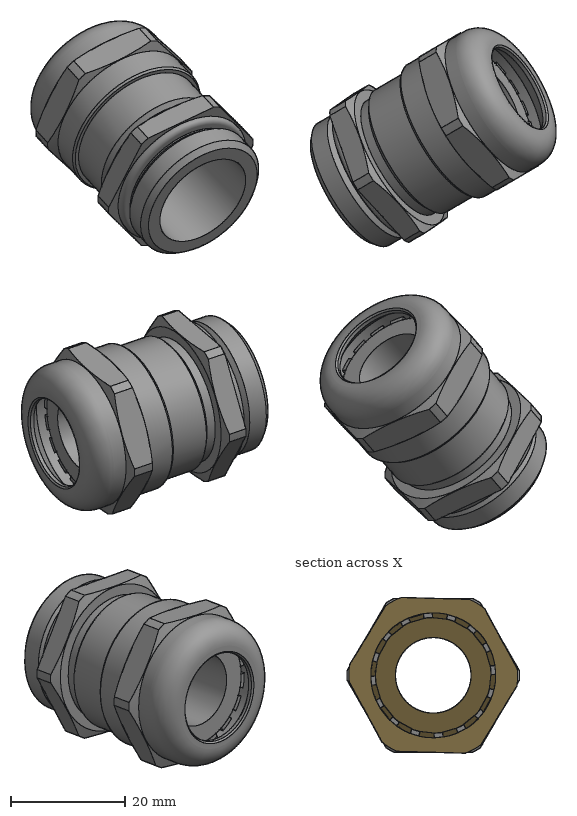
import cadquery as cq
import math


total_length = 37.23
thread_radius = 12.4
neck_radius = 11.5

across_flats = 27.0
hex_corner_radius = 15.15
flats_level_turn = 30.0
hex_face_radius = 13.4
hex_chamfer_angle = 20.0
hex_chamfer_length = (hex_corner_radius - hex_face_radius) * math.tan(math.radians(hex_chamfer_angle))

cap_radius = 13.4
cap_dome_radius = 4.0
cap_length = 16.5
cap_end_chamfer_length = 0.4
cap_end_chamfer_depth = 0.3
cap_hex_start = 6.5
cap_hex_end = 11.5
cap_turn = 1.6
mouth_radius = 8.1
mouth_chamfer = 0.3
lip_thickness = 1.0
cap_cone_end = 3.35

insert_start = 5.0
insert_end = 22.0
seal_bore_radius = 6.6
claw_inner_radius = 10.15
claw_outer_radius = 10.9
finger_count = 16
finger_gap = 1.5
finger_turn = -5.0
finger_length = 6.0

spigot_radius = 12.0
spigot_start = 12.0
body_bore_radius = 9.0
front_thread_end = 23.8
front_runout_end = 24.5
body_hex_start = 26.2
body_hex_end = 30.25
rear_runout_start = 31.87
rear_thread_start = 32.8
end_chamfer = 1.0

ring_section_radius = 0.9
ring_crest_radius = 13.26
ring_crest_offset = 0.38
ring_crest = body_hex_end + ring_crest_offset
ring_end = ring_crest + ring_section_radius
ring_center_radius = ring_crest_radius - ring_section_radius


def turn(profile):
    """Revolve a closed (x, z) profile about the X axis."""
    return profile.close().revolve(360, (0, 0, 0), (1, 0, 0))


def tube(start, end, outer, inner):
    section = cq.Workplane("YZ").workplane(offset=start).circle(outer).circle(inner)
    return section.extrude(end - start)


def disc(start, end, radius):
    return cq.Workplane("YZ").workplane(offset=start).circle(radius).extrude(end - start)


def hexagon(start, end, chamfer_rear):
    """Hexagon with flats up and down, its corners trimmed round and chamfered."""
    prism = (
        cq.Workplane("YZ").workplane(offset=start)
        .transformed(rotate=(0, 0, flats_level_turn))
        .polygon(6, across_flats, circumscribed=True).extrude(end - start)
    )
    envelope = (
        cq.Workplane("XZ").moveTo(start, 0)
        .lineTo(start, hex_face_radius)
        .lineTo(start + hex_chamfer_length, hex_corner_radius)
    )
    if chamfer_rear:
        envelope = envelope.lineTo(end - hex_chamfer_length, hex_corner_radius).lineTo(end, hex_face_radius)
    else:
        envelope = envelope.lineTo(end, hex_corner_radius)
    return prism.intersect(turn(envelope.lineTo(end, 0)))


def make_cap():
    dome_flat_radius = cap_radius - cap_dome_radius
    dome_middle = cap_dome_radius * math.sqrt(0.5)
    outside = turn(
        cq.Workplane("XZ").moveTo(0, 0)
        .lineTo(0, dome_flat_radius)
        .threePointArc(
            (cap_dome_radius - dome_middle, dome_flat_radius + dome_middle),
            (cap_dome_radius, cap_radius),
        )
        .lineTo(cap_length - cap_end_chamfer_length, cap_radius)
        .lineTo(cap_length, cap_radius - cap_end_chamfer_depth)
        .lineTo(cap_length, 0)
    )
    cavity = turn(
        cq.Workplane("XZ").moveTo(0, 0)
        .lineTo(0, mouth_radius + mouth_chamfer)
        .lineTo(mouth_chamfer, mouth_radius)
        .lineTo(lip_thickness, mouth_radius)
        .lineTo(cap_cone_end, claw_outer_radius)
        .lineTo(spigot_start, claw_outer_radius)
        .lineTo(spigot_start, spigot_radius)
        .lineTo(cap_length, spigot_radius)
        .lineTo(cap_length, 0)
    )
    cap = outside.union(hexagon(cap_hex_start, cap_hex_end, True)).cut(cavity)
    return cap.rotate((0, 0, 0), (1, 0, 0), cap_turn)


def make_seal():
    return tube(insert_start, insert_end, claw_inner_radius, seal_bore_radius)


def make_claw():
    """Sleeve round the seal, slotted from its front end into fingers."""
    claw = tube(insert_start, insert_end, claw_outer_radius, claw_inner_radius)
    wall_middle = (claw_inner_radius + claw_outer_radius) / 2
    slot_depth = 2 * (claw_outer_radius - claw_inner_radius)
    slot = cq.Workplane("XY").box(finger_length, slot_depth, finger_gap, centered=(False, True, True))
    slot = slot.translate((insert_start, wall_middle, 0))
    for index in range(finger_count):
        claw = claw.cut(slot.rotate((0, 0, 0), (1, 0, 0), finger_turn + index * 360 / finger_count))
    return claw


def make_body():
    outside = turn(
        cq.Workplane("XZ").moveTo(spigot_start, 0)
        .lineTo(spigot_start, spigot_radius)
        .lineTo(cap_length, spigot_radius)
        .lineTo(cap_length, thread_radius)
        .lineTo(front_thread_end, thread_radius)
        .lineTo(front_runout_end, neck_radius)
        .lineTo(rear_runout_start, neck_radius)
        .lineTo(rear_thread_start, thread_radius)
        .lineTo(total_length - end_chamfer, thread_radius)
        .lineTo(total_length, thread_radius - end_chamfer)
        .lineTo(total_length, 0)
    )
    body = outside.union(hexagon(body_hex_start, body_hex_end, False))
    insert_seat = disc(spigot_start, insert_end, claw_outer_radius)
    bore = disc(spigot_start, total_length, body_bore_radius)
    return body.cut(insert_seat).cut(bore)


def make_sealing_ring():
    """Ring on the rear neck, pressed flat against the hexagon, with a rounded crest."""
    def crest_curve(offset):
        return ring_center_radius + math.sqrt(ring_section_radius**2 - offset**2)

    front_radius = crest_curve(ring_crest_offset)
    front_middle_radius = crest_curve(ring_crest_offset / 2)
    arc_middle = ring_section_radius * math.sqrt(0.5)
    return turn(
        cq.Workplane("XZ").moveTo(body_hex_end, neck_radius)
        .lineTo(body_hex_end, front_radius)
        .threePointArc(
            (ring_crest - ring_crest_offset / 2, front_middle_radius),
            (ring_crest, ring_crest_radius),
        )
        .threePointArc(
            (ring_crest + arc_middle, ring_center_radius + arc_middle),
            (ring_end, ring_center_radius),
        )
        .lineTo(ring_end, neck_radius)
    )


cap = make_cap()
seal = make_seal()
claw = make_claw()
body = make_body()
sealing_ring = make_sealing_ring()

result = cq.Compound.makeCompound([cap.val(), seal.val(), claw.val(), body.val(), sealing_ring.val()])